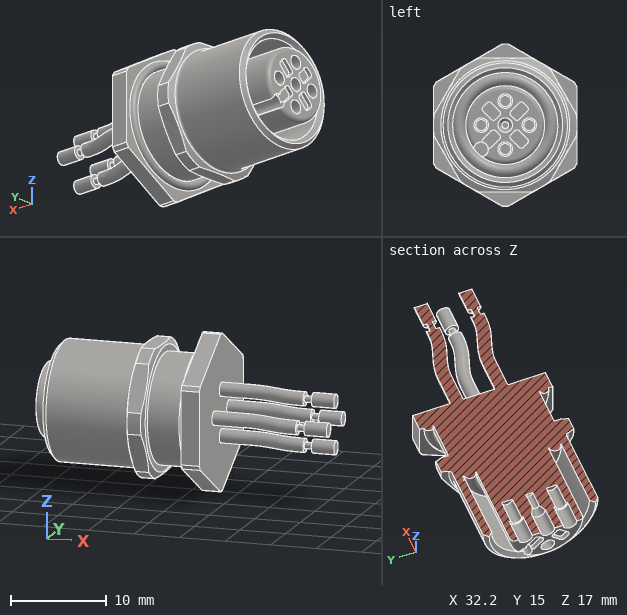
import cadquery as cq
import math


total_length = 32.15

insert_dia = 8.23
insert_edge_radius = 0.48

sleeve_start = 1.5
sleeve_end = 10.95
sleeve_dia = 13.0
sleeve_lip_dia = 12.0
sleeve_bore_dia = 11.0
sleeve_neck_radius = 0.23
recess_floor = 9.97

nut_end = 13.0
nut_across_flats = 14.02
nut_corner_dia = 15.0
nut_face_dia = 13.47
nut_front_bevel_length = 0.3
nut_rear_bevel_length = 0.25

neck_dia = 12.0

flange_start = 17.17
flange_end = 19.2
flange_across_flats = 15.0
flange_corner_dia = 17.0

flange_ring_radius = 0.5
recess_ring_radius = (sleeve_bore_dia - insert_dia) / 4

contact_offset = 2.5
contact_hole_dia = 1.5
contact_hole_depth = 2.57
contact_bore_dia = 1.15
contact_bore_depth = 5.15
funnel_depth = 0.8
funnel_bore_dia = 0.7

slot_width = 1.22
slot_depth = 0.5
slot_corner_radius = 0.32
slot_inner_radius = 1.13
slot_outer_radius = 3.0
slot_angles = (45, 135, 225, 315)
keyway_dia = 1.55
keyway_radius = 3.6
keyway_angle = slot_angles[3]

wire_dia = 1.5
core_dia = 0.7
bend_start = 22.57
bend_end = 28.13
bend_shift = 1.2
strip_start = 28.77
strip_end = 29.67

X_AXIS = cq.Vector(1, 0, 0)

OUTER_CONTACTS = [
    (contact_offset, 0),
    (-contact_offset, 0),
    (0, contact_offset),
    (0, -contact_offset),
]


def rod(diameter, start, end, y=0.0, z=0.0):
    """Cylinder along X between two stations."""
    plane = cq.Workplane("YZ", origin=(start, y, z))
    return plane.circle(diameter / 2).extrude(end - start)


def hexagon(across_flats, start, end, rotation):
    """Hexagonal prism along X; rotation 0 puts corners on the Y axis."""
    corner_dia = across_flats / math.cos(math.radians(30))
    prism = cq.Workplane("YZ", origin=(start, 0, 0)).polygon(6, corner_dia).extrude(end - start)
    return prism.rotate((0, 0, 0), (1, 0, 0), rotation)


def sealing_ring(x, ring_radius, section_radius):
    """Round-section ring around the connector axis."""
    ring = cq.Solid.makeTorus(ring_radius, section_radius, cq.Vector(x, 0, 0), X_AXIS)
    return cq.Workplane(ring)


def make_sleeve():
    """Sleeve bevelled inside and out to a sharp lip, with a flared foot at the nut."""
    sleeve_radius = sleeve_dia / 2
    lip_radius = sleeve_lip_dia / 2
    bore_radius = sleeve_bore_dia / 2
    chamfer = sleeve_radius - lip_radius
    foot_start = sleeve_end - sleeve_neck_radius
    foot_bulge = sleeve_neck_radius * (1 - math.sqrt(0.5))
    profile = (
        cq.Workplane("XY")
        .moveTo(sleeve_start, 0)
        .lineTo(sleeve_start, lip_radius)
        .lineTo(sleeve_start + chamfer, sleeve_radius)
        .lineTo(foot_start, sleeve_radius)
        .threePointArc(
            (sleeve_end - foot_bulge, sleeve_radius + foot_bulge),
            (sleeve_end, sleeve_radius + sleeve_neck_radius),
        )
        .lineTo(sleeve_end, 0)
        .close()
    )
    sleeve = profile.revolve(360, (0, 0, 0), (1, 0, 0))
    countersink = cq.Solid.makeCone(
        lip_radius,
        bore_radius,
        lip_radius - bore_radius,
        cq.Vector(sleeve_start, 0, 0),
        X_AXIS,
    )
    bore = rod(sleeve_bore_dia, sleeve_start, recess_floor)
    return sleeve.cut(bore).cut(cq.Workplane(countersink))


def make_nut():
    """Hexagon trimmed by a turned blank that bevels both faces."""
    face_radius = nut_face_dia / 2
    corner_radius = nut_corner_dia / 2
    blank = (
        cq.Workplane("XY")
        .polyline([
            (sleeve_end, 0),
            (sleeve_end, face_radius),
            (sleeve_end + nut_front_bevel_length, corner_radius),
            (nut_end - nut_rear_bevel_length, corner_radius),
            (nut_end, face_radius),
            (nut_end, 0),
        ])
        .close()
        .revolve(360, (0, 0, 0), (1, 0, 0))
    )
    return hexagon(nut_across_flats, sleeve_end, nut_end, 0).intersect(blank)


def make_flange():
    """Hexagonal flange with its corners turned to a cylinder."""
    prism = hexagon(flange_across_flats, flange_start, flange_end, 90)
    return prism.intersect(rod(flange_corner_dia, flange_start, flange_end))


def make_contact_holes():
    """Stepped holes around a central hole that narrows in a funnel."""
    holes = cq.Workplane("XY")
    for y, z in OUTER_CONTACTS:
        holes = holes.union(rod(contact_hole_dia, 0, contact_hole_depth, y, z))
        holes = holes.union(rod(contact_bore_dia, contact_hole_depth, contact_bore_depth, y, z))
    funnel = cq.Solid.makeCone(
        contact_hole_dia / 2,
        funnel_bore_dia / 2,
        funnel_depth,
        cq.Vector(contact_hole_depth, 0, 0),
        X_AXIS,
    )
    return (
        holes.union(rod(contact_hole_dia, 0, contact_hole_depth))
        .union(cq.Workplane(funnel))
        .union(rod(funnel_bore_dia, contact_hole_depth, contact_bore_depth))
    )


def make_insert():
    """Insert with rounded front edge, contact holes, diagonal slots and keyway."""
    insert = rod(insert_dia, 0, sleeve_end).faces("<X").edges().fillet(insert_edge_radius)
    slot_length = slot_outer_radius - slot_inner_radius
    slot_middle = (slot_inner_radius + slot_outer_radius) / 2
    slot = (
        cq.Workplane("YZ")
        .center(slot_middle, 0)
        .rect(slot_length, slot_width)
        .extrude(slot_depth)
        .edges("|X")
        .fillet(slot_corner_radius)
    )
    for angle in slot_angles:
        insert = insert.cut(slot.rotate((0, 0, 0), (1, 0, 0), angle))
    keyway = rod(keyway_dia, 0, recess_floor, keyway_radius)
    insert = insert.cut(keyway.rotate((0, 0, 0), (1, 0, 0), keyway_angle))
    return insert.cut(make_contact_holes())


def make_wire(y, z):
    """Wire leaving the flange, bent towards -Y in an S, stripped near its tip."""
    end_y = y - bend_shift
    bend_path = (
        cq.Workplane("XY", origin=(0, 0, z))
        .moveTo(bend_start, y)
        .spline([(bend_end, end_y)], tangents=[(1, 0), (1, 0)], includeCurrent=True)
    )
    bend = cq.Workplane("YZ", origin=(bend_start, y, z)).circle(wire_dia / 2).sweep(bend_path)
    return (
        rod(wire_dia, flange_end, bend_start, y, z)
        .union(bend)
        .union(rod(wire_dia, bend_end, strip_start, end_y, z))
        .union(rod(core_dia, strip_start, strip_end, end_y, z))
        .union(rod(wire_dia, strip_end, total_length, end_y, z))
    )


recess_ring_center = insert_dia / 2 + recess_ring_radius
flange_ring_center = neck_dia / 2 + flange_ring_radius

result = (
    make_sleeve()
    .union(make_insert())
    .union(sealing_ring(recess_floor, recess_ring_center, recess_ring_radius))
    .union(make_nut())
    .union(rod(neck_dia, nut_end, flange_start))
    .union(sealing_ring(flange_start, flange_ring_center, flange_ring_radius))
    .union(make_flange())
)
for wire_y, wire_z in OUTER_CONTACTS:
    result = result.union(make_wire(wire_y, wire_z))